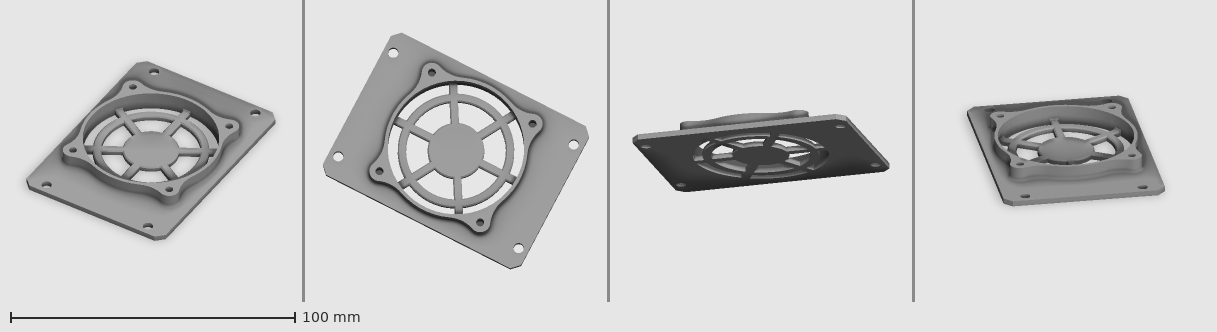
import cadquery as cq
import math

plate_width = 57.6
plate_length = 78.6
plate_thickness = 2.0
plate_corner_chamfer = 2.8
mount_hole_diameter = 3.6
mount_hole_x = 21.0
mount_hole_y = 35.8

total_height = 7.0
frame_height = total_height - plate_thickness
bore_diameter = 48.0
bore_radius = bore_diameter / 2
bulge_radius = 25.2
lobe_radius = 3.5
waist_radius = 12.0
frame_foot_fillet = 1.0
screw_offset = 20.0
screw_hole_diameter = 2.8
screw_hole_depth = frame_height

hub_radius = 10.0
guard_ring_outer_radius = 20.5
bar_width = 3.0
guard_ring_inner_radius = guard_ring_outer_radius - bar_width
guard_edge_chamfer = 0.5
spoke_count = 6
first_spoke_angle = 90
spoke_overrun = bar_width

selection_margin = 0.1


def polar(radius, angle):
    """Point at a distance from the bore axis, angle in radians from +X."""
    return radius * math.cos(angle), radius * math.sin(angle)


def toward(start, end, distance):
    """Point a given distance from start, in the direction of end."""
    fraction = distance / math.dist(start, end)
    return tuple(s + fraction * (e - s) for s, e in zip(start, end))


def quarter_turned(points, turns):
    """Points turned about the bore axis by a number of quarter turns."""
    for _ in range(turns):
        points = [(-y, x) for x, y in points]
    return points


def make_plate():
    plate = cq.Workplane("XY").box(plate_width, plate_length, plate_thickness, centered=(True, True, False))
    return plate.edges("|Z").chamfer(plate_corner_chamfer)


def make_frame():
    """Closed outline of tangent arcs: bulge, waist, screw lobe, waist, four times round."""
    diagonal = math.radians(45)
    lobe_distance = screw_offset * math.sqrt(2)
    waist_distance = bulge_radius + waist_radius
    lobe_to_waist = lobe_radius + waist_radius
    waist_spread = math.acos(
        (lobe_distance**2 + waist_distance**2 - lobe_to_waist**2) / (2 * lobe_distance * waist_distance)
    )

    lobe_center = polar(lobe_distance, diagonal)
    lobe_tip = polar(lobe_distance + lobe_radius, diagonal)
    waist_center = polar(waist_distance, diagonal - waist_spread)
    bulge_end = polar(bulge_radius, diagonal - waist_spread)
    waist_middle = toward(waist_center, polar(lobe_distance / 2, diagonal), waist_radius)
    lobe_start = toward(lobe_center, waist_center, lobe_radius)

    corner = [
        (bulge_radius, 0),
        bulge_end,
        waist_middle,
        lobe_start,
        lobe_tip,
        lobe_start[::-1],
        waist_middle[::-1],
        bulge_end[::-1],
    ]
    frame_plane = cq.Workplane("XY").workplane(offset=plate_thickness)
    outline = frame_plane.moveTo(bulge_end[0], -bulge_end[1])
    for turn in range(4):
        points = quarter_turned(corner, turn)
        for middle, end in zip(points[0::2], points[1::2]):
            outline = outline.threePointArc(middle, end)
    return outline.close().extrude(frame_height)


def make_spokes(inner_radius, height):
    """Bars at every spoke angle, from a distance off the bore axis to beyond the bore wall."""
    length = bore_radius + spoke_overrun - inner_radius
    bar = cq.Workplane("XY").center(inner_radius + length / 2, 0).rect(length, bar_width).extrude(height)
    spokes = cq.Workplane("XY")
    for index in range(spoke_count):
        angle = first_spoke_angle + index * 360 / spoke_count
        spokes = spokes.add(bar.rotate((0, 0, 0), (0, 0, 1), angle))
    return spokes.combine()


def make_guard():
    """Hub, ring and spokes with bevelled upper edges, and a ramp up the bore wall at each spoke end."""
    hub = cq.Workplane("XY").circle(hub_radius).extrude(plate_thickness)
    ring = cq.Workplane("XY").circle(guard_ring_outer_radius).circle(guard_ring_inner_radius)
    bore_plug = cq.Workplane("XY").circle(bore_radius).extrude(plate_thickness)

    long_spokes = make_spokes(0, plate_thickness)
    guard = hub.union(ring.extrude(plate_thickness)).union(long_spokes)
    guard = guard.faces(">Z").edges().chamfer(guard_edge_chamfer).intersect(bore_plug)

    ramp_start = bore_radius - guard_edge_chamfer
    ramp_profile = [
        (ramp_start, plate_thickness - guard_edge_chamfer),
        (ramp_start, plate_thickness),
        (bore_radius, plate_thickness + guard_edge_chamfer),
        (bore_radius, plate_thickness - guard_edge_chamfer),
    ]
    ramp_ring = cq.Workplane("XZ").polyline(ramp_profile).close().revolve(360, (0, 0), (0, 1))
    ramps = ramp_ring.intersect(make_spokes(guard_ring_outer_radius, total_height))
    return guard.union(ramps)


body = make_plate().union(make_frame())

foot_limit = bulge_radius + selection_margin
frame_foot = cq.selectors.BoxSelector(
    (-foot_limit, -foot_limit, plate_thickness - selection_margin),
    (foot_limit, foot_limit, plate_thickness + selection_margin),
    boundingbox=True,
)
body = body.edges(frame_foot).fillet(frame_foot_fillet)

bore = cq.Workplane("XY").circle(bore_radius).extrude(total_height)
body = body.cut(bore).union(make_guard())

mount_holes = cq.Workplane("XY").rect(2 * mount_hole_x, 2 * mount_hole_y, forConstruction=True).vertices()
body = body.cut(mount_holes.circle(mount_hole_diameter / 2).extrude(plate_thickness))

screw_plane = cq.Workplane("XY").workplane(offset=total_height)
screw_holes = screw_plane.rect(2 * screw_offset, 2 * screw_offset, forConstruction=True).vertices()
result = body.cut(screw_holes.circle(screw_hole_diameter / 2).extrude(-screw_hole_depth))